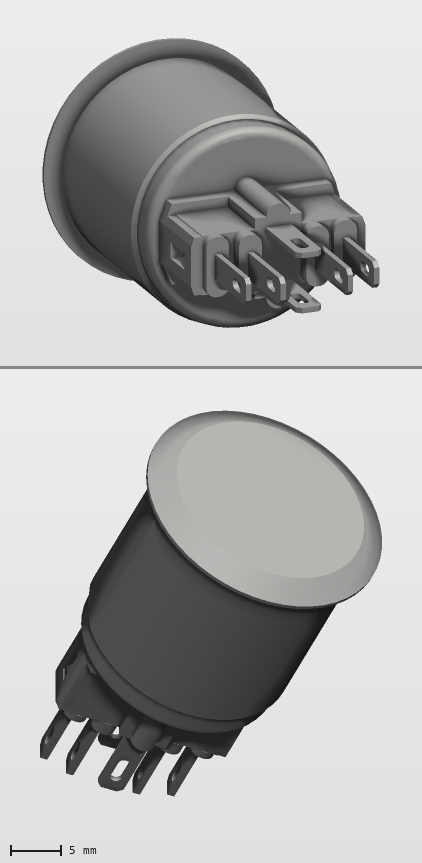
import cadquery as cq

flange_diameter = 25.0
face_diameter = 20.0
bevel_length = 1.35
flange_length = 1.75
neck_diameter = 20.8
barrel_diameter = 21.8
barrel_start = 2.75
barrel_end = 20.8
barrel_chamfer = 0.4
flat_offset = 10.5
body_length = 24.0
rear_fillet = 0.95

housing_end = 32.55
housing_half_width = 9.2
housing_half_height = 4.2
shoulder_half_width = 8.45
side_half_height = 2.15
rib_radius = 1.25

recess_start = 25.45
recess_inner_y = 2.5
recess_step_y = 8.05
ledge_height = 3.0
recess_floor_height = 3.1

window_start = 27.15
window_end = 30.77
window_height = 1.65
window_depth = 1.35
latch_start = 28.8
latch_crest = 30.25
latch_crest_depth = 0.25
latch_foot_depth = 1.0
latch_height = 1.4

blade_width = 2.75
blade_thickness = 0.55
blade_corner = 0.5
blade_root = 0.85
slot_width = 1.15
cross_slot_length = 3.1
upright_slot_length = 2.25
slot_gap = 1.33
cross_blade_z = 2.85
cross_blade_end = 41.05
inner_blade_y = 3.55
inner_blade_end = 42.8
inner_boss_end = 34.1
outer_blade_y = 6.75
outer_blade_end = 41.75
outer_boss_end = 33.45
boss_width = 2.4
boss_height = 6.25
boss_fillet = 1.05


def box(x_start, x_end, y_start, y_end, z_start, z_end):
    """Block between two opposite corners."""
    return cq.Workplane("XY").box(
        x_end - x_start, y_end - y_start, z_end - z_start, centered=False
    ).translate((x_start, y_start, z_start))


def make_body():
    """Flange, neck and barrel with a locating flat on the +Y side."""
    neck_radius = neck_diameter / 2
    barrel_radius = barrel_diameter / 2
    core = (
        cq.Workplane("XY")
        .moveTo(0, 0)
        .lineTo(0, face_diameter / 2)
        .lineTo(bevel_length, flange_diameter / 2)
        .lineTo(flange_length, flange_diameter / 2)
        .lineTo(flange_length, neck_radius)
        .lineTo(body_length, neck_radius)
        .lineTo(body_length, 0)
        .close()
        .revolve(360, (0, 0, 0), (1, 0, 0))
        .faces(">X")
        .edges()
        .fillet(rear_fillet)
    )
    barrel = (
        cq.Workplane("YZ", origin=(barrel_start, 0, 0))
        .circle(barrel_radius)
        .extrude(barrel_end + barrel_chamfer - barrel_start)
        .faces(">X")
        .edges()
        .chamfer(barrel_chamfer)
    )
    beyond_flat = box(barrel_start, body_length, flat_offset, barrel_radius, -barrel_radius, barrel_radius)
    return core.union(barrel.cut(beyond_flat))


def make_recess():
    """Cutter for the stepped recess at the upper +Y corner of the housing."""
    profile = [
        (recess_inner_y, recess_floor_height),
        (recess_step_y, recess_floor_height),
        (recess_step_y, ledge_height),
        (housing_half_width, ledge_height),
        (housing_half_width, housing_half_height),
        (recess_inner_y, housing_half_height),
    ]
    return (
        cq.Workplane("YZ", origin=(recess_start, 0, 0))
        .polyline(profile)
        .close()
        .extrude(housing_end - recess_start)
    )


def make_window():
    """Cutter for the -Y window, leaving a ramped latch standing inside it."""
    outer_y = -housing_half_width
    floor_y = outer_y + window_depth
    half_height = window_height / 2
    opening = box(window_start, window_end, outer_y, floor_y, -half_height, half_height)
    latch = (
        cq.Workplane("XY")
        .moveTo(latch_start, floor_y)
        .lineTo(latch_start, outer_y + latch_foot_depth)
        .lineTo(latch_crest, outer_y + latch_crest_depth)
        .lineTo(window_end, outer_y + latch_crest_depth)
        .lineTo(window_end, floor_y)
        .close()
        .extrude(latch_height / 2, both=True)
    )
    return opening.cut(latch)


def make_housing():
    """Bevelled block with round ribs, corner recesses and side windows."""
    length = housing_end - body_length
    base = cq.Workplane("YZ", origin=(body_length, 0, 0))
    outline = [
        (-housing_half_width, -side_half_height),
        (-shoulder_half_width, -housing_half_height),
        (shoulder_half_width, -housing_half_height),
        (housing_half_width, -side_half_height),
        (housing_half_width, side_half_height),
        (shoulder_half_width, housing_half_height),
        (-shoulder_half_width, housing_half_height),
        (-housing_half_width, side_half_height),
    ]
    housing = base.polyline(outline).close().extrude(length)
    rib_centers = [(0, housing_half_height), (0, -housing_half_height)]
    housing = housing.union(base.pushPoints(rib_centers).circle(rib_radius).extrude(length))

    upper_recess = make_recess()
    upper_recesses = upper_recess.union(upper_recess.mirror("XZ"))
    window = make_window()
    return (
        housing.cut(upper_recesses)
        .cut(upper_recesses.mirror("XY"))
        .cut(window)
        .cut(window.mirror("XZ"))
    )


def make_blade(end, slot_length):
    """Horizontal slotted terminal blade centred on the X axis."""
    start = housing_end - blade_root
    slot_center = end - slot_gap - slot_length / 2
    blade = (
        box(start, end, -blade_width / 2, blade_width / 2, -blade_thickness / 2, blade_thickness / 2)
        .edges("|Z and >X")
        .chamfer(blade_corner)
    )
    slot = (
        cq.Workplane("XY")
        .center(slot_center, 0)
        .slot2D(slot_length, slot_width)
        .extrude(blade_thickness, both=True)
    )
    return blade.cut(slot)


def make_upright_terminal(y, boss_end, blade_end):
    """Upright blade standing in a round-cornered boss."""
    boss = (
        cq.Workplane("YZ", origin=(housing_end, y, 0))
        .rect(boss_width, boss_height)
        .extrude(boss_end - housing_end)
        .edges("|X")
        .fillet(boss_fillet)
    )
    blade = make_blade(blade_end, upright_slot_length).rotate((0, 0, 0), (1, 0, 0), 90)
    return boss.union(blade.translate((0, y, 0)))


result = make_body().union(make_housing())
for side in (-1, 1):
    cross_blade = make_blade(cross_blade_end, cross_slot_length)
    result = result.union(cross_blade.translate((0, 0, side * cross_blade_z)))
    result = result.union(make_upright_terminal(side * inner_blade_y, inner_boss_end, inner_blade_end))
    result = result.union(make_upright_terminal(side * outer_blade_y, outer_boss_end, outer_blade_end))